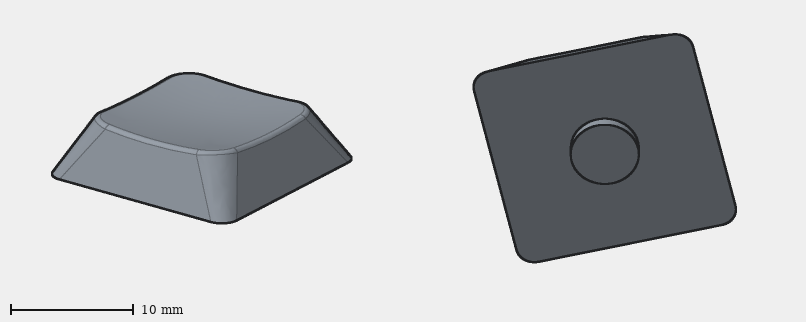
import cadquery as cq

base_width = 18.3
base_corner_radius = 1.5
taper_height = 5.0
taper_inset = 2.42
top_width = base_width - 2 * taper_inset
top_corner_radius = 2.5

dish_radius = 49.05
dish_floor = 4.0
dish_shift = 0.55
rim_fillet = 0.5

stem_diameter = 5.55
stem_length = 1.0


def rounded_square(width, corner_radius):
    return cq.Sketch().rect(width, width).vertices().fillet(corner_radius)


def make_cap():
    base = rounded_square(base_width, base_corner_radius)
    top = rounded_square(top_width, top_corner_radius)
    top_place = cq.Location(cq.Vector(0, 0, taper_height))
    skirt = cq.Workplane("XY").placeSketch(base, top.moved(top_place)).loft(ruled=True)
    dish_center = (0, dish_shift, dish_floor + dish_radius)
    dish = cq.Workplane("XY").sphere(dish_radius).rotate((0, 0, 0), (0, 0, 1), 180).translate(dish_center)
    dished = skirt.cut(dish)
    return dished.faces(">Z").edges().fillet(rim_fillet)


def make_stem():
    return cq.Workplane("XY").circle(stem_diameter / 2).extrude(-stem_length)


result = make_cap().union(make_stem())